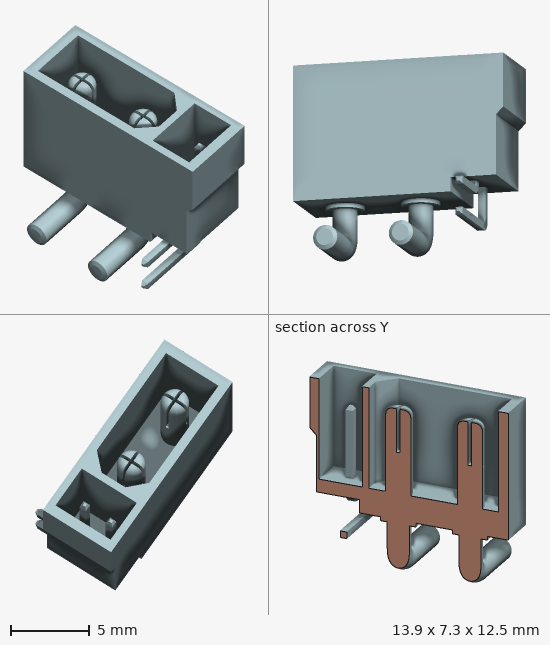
import cadquery as cq
import math

body_length = 13.9
body_depth = 5.2
body_height = 8.81
overhang = 0.49
overhang_height = 3.5
bottom_step_x = 10.42
bottom_step_height = 0.92

socket_depth = 6.95
power_socket_start = 0.71
power_socket_end = 9.73
power_socket_width = 4.0
power_socket_corner = 1.1
signal_socket_start = 10.2
signal_socket_end = 13.2
signal_socket_width = 4.2

tail_reach = 2.1

power_x = 2.7
power_pitch = 5.0
prong_diameter = 1.81
prong_recess = 1.1
prong_tip_radius = 0.5
prong_root_depth = 0.28
slot_width = 0.21
slot_depth = 3.0
collar_diameter = 2.5
collar_thickness = 0.26
tail_diameter = 1.6
tail_drop = 3.71
tail_bend_radius = 1.0
tail_chamfer_length = 0.15
tail_chamfer_inset = 0.25

signal_x = 11.51
signal_pitch = 2.0
signal_thickness = 0.49
signal_recess = 2.0
signal_tail_z = 0.3
signal_front_inner_bend = 0.21
signal_rear_inner_bend = 0.43
signal_outer_bend = 0.71
signal_tip_length = 0.25
signal_tip_width = 0.2

front_y = -body_depth / 2
tail_end_y = front_y - tail_reach
tail_axis_drop = tail_drop - tail_diameter / 2
socket_floor_z = body_height - socket_depth
quarter_turn = math.sqrt(0.5)


def make_housing():
    """Block with a chamfered overhang on the right and a raised floor under the signal contacts."""
    overhang_z = body_height - overhang_height
    lower_end_x = body_length - overhang
    return (
        cq.Workplane("XZ", origin=(0, -front_y, 0))
        .polyline([
            (0, 0),
            (bottom_step_x, 0),
            (bottom_step_x, bottom_step_height),
            (lower_end_x, bottom_step_height),
            (lower_end_x, overhang_z - overhang),
            (body_length, overhang_z),
            (body_length, body_height),
            (0, body_height),
        ])
        .close()
        .extrude(body_depth)
    )


def make_socket(start_x, end_x, width):
    """Rectangular socket volume, open at the top face."""
    return (
        cq.Workplane("XY", origin=((start_x + end_x) / 2, 0, socket_floor_z))
        .rect(end_x - start_x, width)
        .extrude(socket_depth)
    )


def make_prong(x):
    """Round plug prong with a rounded tip, split by a cross slot."""
    tip_z = body_height - prong_recess
    base_z = socket_floor_z - prong_root_depth
    prong = (
        cq.Workplane("XY", origin=(x, 0, base_z))
        .circle(prong_diameter / 2)
        .extrude(tip_z - base_z)
        .faces(">Z").edges().fillet(prong_tip_radius)
    )
    slot_plane = cq.Workplane("XY", origin=(x, 0, tip_z - slot_depth))
    for size_x, size_y in ((prong_diameter, slot_width), (slot_width, prong_diameter)):
        prong = prong.cut(slot_plane.rect(size_x, size_y).extrude(slot_depth))
    return prong


def make_power_tail(x):
    """Collar under the housing and a round tail that bends forward, with a chamfered end."""
    collar = (
        cq.Workplane("XY", origin=(x, 0, 0))
        .circle(collar_diameter / 2)
        .extrude(-collar_thickness)
    )
    bend_z = tail_bend_radius - tail_axis_drop
    chamfer_y = tail_end_y + tail_chamfer_length
    path = (
        cq.Workplane("YZ", origin=(x, 0, 0))
        .moveTo(0, 0)
        .lineTo(0, bend_z)
        .threePointArc(
            (-tail_bend_radius * (1 - quarter_turn), bend_z - tail_bend_radius * quarter_turn),
            (-tail_bend_radius, -tail_axis_drop),
        )
        .lineTo(chamfer_y, -tail_axis_drop)
    )
    tail = cq.Workplane("XY", origin=(x, 0, 0)).circle(tail_diameter / 2).sweep(path)
    tip = (
        cq.Workplane("XZ", origin=(x, chamfer_y, -tail_axis_drop))
        .circle(tail_diameter / 2)
        .workplane(offset=tail_chamfer_length)
        .circle(tail_diameter / 2 - tail_chamfer_inset)
        .loft()
    )
    return collar.union(tail).union(tip)


def make_tapered_tip(plane, origin):
    """Square tip that narrows along the plane's normal."""
    return (
        cq.Workplane(plane, origin=origin)
        .rect(signal_thickness, signal_thickness)
        .workplane(offset=signal_tip_length)
        .rect(signal_tip_width, signal_tip_width)
        .loft()
    )


def make_signal_contact(y, tail_z, inner_bend):
    """Square pin that runs down through the floor and bends forward, tapered at both ends."""
    half = signal_thickness / 2
    top_z = body_height - signal_recess - signal_tip_length
    end_y = tail_end_y + signal_tip_length
    rear_y = y + half
    front_face_y = y - half
    upper_z = tail_z + half
    lower_z = tail_z - half
    outer_inset = signal_outer_bend * (1 - quarter_turn)
    inner_inset = inner_bend * (1 - quarter_turn)
    bar = (
        cq.Workplane("YZ", origin=(signal_x - half, 0, 0))
        .moveTo(rear_y, top_z)
        .lineTo(rear_y, lower_z + signal_outer_bend)
        .threePointArc(
            (rear_y - outer_inset, lower_z + outer_inset),
            (rear_y - signal_outer_bend, lower_z),
        )
        .lineTo(end_y, lower_z)
        .lineTo(end_y, upper_z)
        .lineTo(front_face_y - inner_bend, upper_z)
        .threePointArc(
            (front_face_y - inner_inset, upper_z + inner_inset),
            (front_face_y, upper_z + inner_bend),
        )
        .lineTo(front_face_y, top_z)
        .close()
        .extrude(signal_thickness)
    )
    pin_tip = make_tapered_tip("XY", (signal_x, y, top_z))
    tail_tip = make_tapered_tip("XZ", (signal_x, end_y, tail_z))
    return bar.union(pin_tip).union(tail_tip)


power_socket = (
    make_socket(power_socket_start, power_socket_end, power_socket_width)
    .edges("|Z and >X").chamfer(power_socket_corner)
)
signal_socket = make_socket(signal_socket_start, signal_socket_end, signal_socket_width)
result = make_housing().cut(power_socket).cut(signal_socket)

for x in (power_x, power_x + power_pitch):
    result = result.union(make_prong(x)).union(make_power_tail(x))

rear_signal_y = signal_pitch / 2
front_contact = make_signal_contact(-rear_signal_y, signal_tail_z, signal_front_inner_bend)
rear_contact = make_signal_contact(rear_signal_y, signal_tail_z - signal_pitch, signal_rear_inner_bend)
result = result.union(front_contact).union(rear_contact)